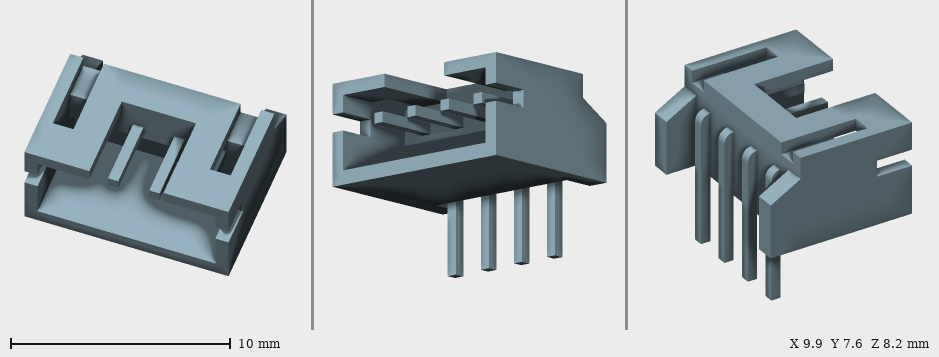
import cadquery as cq

housing_width = 9.9
housing_height = 4.8
housing_depth = 6.0
overall_depth = 7.6
side_wall = 0.64
roof_thickness = 0.62
floor_thickness = 0.67

cavity_depth = 4.25
undercut_depth = 0.6
undercut_full_height = 1.93
undercut_start_height = 2.53

arm_width = 1.0
arm_end_height = 2.78
arm_root_height = 3.68

window_width = 3.6
roof_slot_width = 1.0
roof_slot_front = 2.0
side_notch_depth = 1.9
side_notch_top = 3.37

pin_count = 4
pin_pitch = 2.0
pin_size = 0.5
pin_tip_y = 0.95
pin_top = 3.35
pin_bottom = -3.4
pin_bend_radius = pin_size

cavity_width = housing_width - 2 * side_wall
cavity_top = housing_height - roof_thickness
pin_back = housing_depth + pin_size


def box(x_range, y_range, z_range):
    """Axis-aligned block spanning the given (low, high) ranges."""
    size = [high - low for low, high in (x_range, y_range, z_range)]
    corner = (x_range[0], y_range[0], z_range[0])
    return cq.Workplane("XY").box(*size, centered=False).translate(corner)


def extrude_along_x(profile, width, center_x=0):
    """Extrude a closed YZ profile by width, centred on center_x."""
    return profile.extrude(width / 2, both=True).translate((center_x, 0, 0))


def make_shell():
    """Housing block with one sloped-top arm behind each side."""
    shell = box(
        (-housing_width / 2, housing_width / 2),
        (0, housing_depth),
        (0, housing_height),
    )
    for side in (-1, 1):
        profile = cq.Workplane("YZ").polyline([
            (housing_depth, 0),
            (overall_depth, 0),
            (overall_depth, arm_end_height),
            (housing_depth, arm_root_height),
        ]).close()
        arm_x = side * (housing_width - arm_width) / 2
        shell = shell.union(extrude_along_x(profile, arm_width, arm_x))
    return shell


def make_cavity():
    """Front-opening cavity, deeper near the floor below a sloped overhang."""
    undercut_y = cavity_depth + undercut_depth
    profile = cq.Workplane("YZ").polyline([
        (0, floor_thickness),
        (undercut_y, floor_thickness),
        (undercut_y, undercut_full_height),
        (cavity_depth, undercut_start_height),
        (cavity_depth, cavity_top),
        (0, cavity_top),
    ]).close()
    return extrude_along_x(profile, cavity_width)


def make_roof_openings():
    """Central window open to the front and two slots open to the rear."""
    roof = (cavity_top, housing_height)
    openings = box((-window_width / 2, window_width / 2), (0, cavity_depth), roof)
    for side in (-1, 1):
        outer_x = side * cavity_width / 2
        inner_x = outer_x - side * roof_slot_width
        slot_x = (min(outer_x, inner_x), max(outer_x, inner_x))
        openings = openings.union(box(slot_x, (roof_slot_front, housing_depth), roof))
    return openings


def make_side_notches():
    """Notch through both side walls, open to the front."""
    return box(
        (-housing_width / 2, housing_width / 2),
        (0, side_notch_depth),
        (undercut_start_height, side_notch_top),
    )


def make_pin(center_x):
    """Square pin running back through the rear wall and bending down behind it."""
    pin_underside = pin_top - pin_size
    profile = (
        cq.Workplane("YZ")
        .moveTo(pin_tip_y, pin_underside)
        .lineTo(housing_depth, pin_underside)
        .lineTo(housing_depth, pin_bottom)
        .lineTo(pin_back, pin_bottom)
        .lineTo(pin_back, pin_top - pin_bend_radius)
        .radiusArc((pin_back - pin_bend_radius, pin_top), -pin_bend_radius)
        .lineTo(pin_tip_y, pin_top)
        .close()
    )
    return extrude_along_x(profile, pin_size, center_x)


result = make_shell().cut(make_cavity()).cut(make_roof_openings()).cut(make_side_notches())
for index in range(pin_count):
    pin_x = (index - (pin_count - 1) / 2) * pin_pitch
    result = result.union(make_pin(pin_x))